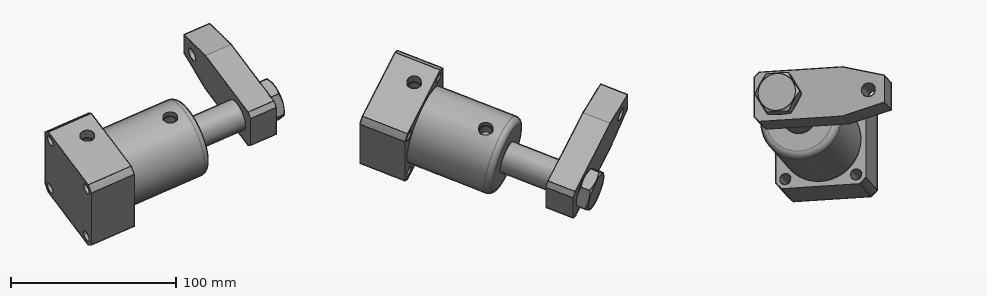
import cadquery as cq
import math


base_side = 56.0
base_length = 30.0
corner_diameter = 74.0
mount_hole_diameter = 6.8
mount_hole_spacing = 44.0

barrel_diameter = 50.0
barrel_end_y = 85.0
barrel_fillet = 4.0

port_mouth_diameter = 8.8
port_bore_diameter = 7.8
port_step_z = 21.0
port_floor_z = 14.0
barrel_port_y = 71.0
base_port_x = -10.0
base_port_y = 19.0

rod_diameter = 20.0

arm_start_y = 118.0
arm_thickness = 18.0
arm_width = 31.0
arm_tip_x = -65.0
arm_heel_x = 16.0
arm_heel_chamfer = 3.0
arm_tip_width = 17.0
arm_taper_angle = 15.0
arm_hole_diameter = 8.5
arm_hole_inset = 10.0

nut_end_y = 144.0
nut_across_flats = 24.0
nut_face_diameter = 23.2
nut_chamfer_angle = 30.0
nut_sides = 6

base_half = base_side / 2
arm_end_y = arm_start_y + arm_thickness
nut_thickness = nut_end_y - arm_end_y


def section_at(y):
    """Workplane across the piston axis at y; local X is X, local Y is Z, its normal is -Y."""
    return cq.Workplane(cq.Plane(origin=(0, y, 0), xDir=(1, 0, 0), normal=(0, -1, 0)))


def along_y(profile, length):
    """Extrude a cross section toward +Y, against the normal of its workplane."""
    return profile.extrude(-length)


def make_port(x, y):
    """Cutting shape of a stepped blind port, with its wide mouth at the top."""
    port_axis = cq.Workplane("XY").center(x, y)
    bore_depth = base_half - port_floor_z
    mouth_depth = base_half - port_step_z
    bore = port_axis.workplane(offset=port_floor_z).circle(port_bore_diameter / 2).extrude(bore_depth)
    mouth = port_axis.workplane(offset=port_step_z).circle(port_mouth_diameter / 2).extrude(mouth_depth)
    return bore.union(mouth)


def make_housing():
    block = along_y(section_at(0).rect(base_side, base_side), base_length)
    corner_envelope = along_y(section_at(0).circle(corner_diameter / 2), base_length)
    base = block.intersect(corner_envelope)
    mount_holes = along_y(
        section_at(0)
        .rect(mount_hole_spacing, mount_hole_spacing, forConstruction=True)
        .vertices()
        .circle(mount_hole_diameter / 2),
        base_length,
    )
    barrel = along_y(section_at(base_length).circle(barrel_diameter / 2), barrel_end_y - base_length)
    barrel = barrel.faces(">Y").edges().fillet(barrel_fillet)
    housing = base.cut(mount_holes).union(barrel)
    for x, y in [(0, barrel_port_y), (base_port_x, base_port_y)]:
        housing = housing.cut(make_port(x, y))
    return housing


def make_rod():
    return along_y(section_at(barrel_end_y).circle(rod_diameter / 2), arm_start_y - barrel_end_y)


def make_arm():
    half_width = arm_width / 2
    half_tip = arm_tip_width / 2
    taper_length = (half_width - half_tip) / math.tan(math.radians(arm_taper_angle))
    outline = [
        (arm_tip_x, half_tip),
        (arm_tip_x + taper_length, half_width),
        (arm_heel_x - arm_heel_chamfer, half_width),
        (arm_heel_x, half_width - arm_heel_chamfer),
        (arm_heel_x, -half_width + arm_heel_chamfer),
        (arm_heel_x - arm_heel_chamfer, -half_width),
        (arm_tip_x + taper_length, -half_width),
        (arm_tip_x, -half_tip),
    ]
    plate = along_y(section_at(arm_start_y).polyline(outline).close(), arm_thickness)
    tip_hole = along_y(
        section_at(arm_start_y).center(arm_tip_x + arm_hole_inset, 0).circle(arm_hole_diameter / 2),
        arm_thickness,
    )
    return plate.cut(tip_hole)


def make_nut():
    """Hexagon with corners on the X axis, its corners bevelled by a cone at both ends."""
    across_corners = nut_across_flats / math.cos(math.pi / nut_sides)
    hexagon = along_y(section_at(arm_end_y).polygon(nut_sides, across_corners), nut_thickness)
    corner_radius = across_corners / 2
    face_radius = nut_face_diameter / 2
    bevel_height = (corner_radius - face_radius) * math.tan(math.radians(nut_chamfer_angle))
    bevel_envelope = (
        cq.Workplane("XY")
        .polyline([
            (0, arm_end_y),
            (face_radius, arm_end_y),
            (corner_radius, arm_end_y + bevel_height),
            (corner_radius, nut_end_y - bevel_height),
            (face_radius, nut_end_y),
            (0, nut_end_y),
        ])
        .close()
        .revolve(360, (0, 0, 0), (0, 1, 0))
    )
    return hexagon.intersect(bevel_envelope)


housing = make_housing()
rod = make_rod()
arm = make_arm()
nut = make_nut()

result = cq.Compound.makeCompound([housing.val(), rod.val(), arm.val(), nut.val()])